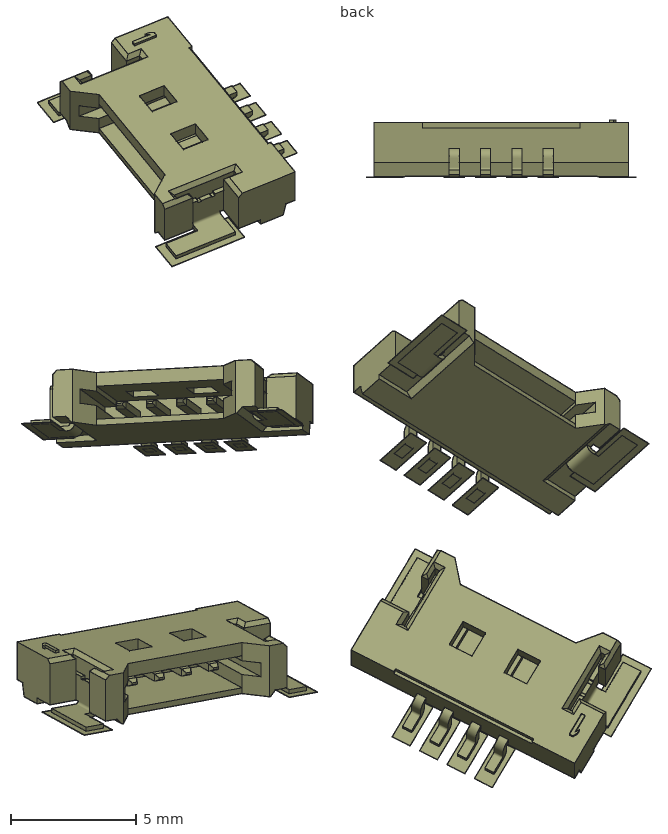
import cadquery as cq


pad_thickness = 0.02
anchor_pad_half_span = 5.38
anchor_pad_width = 1.3
anchor_pad_front = -0.35
anchor_pad_length = 3.34
contact_pad_width = 0.82
contact_pad_back = 7.19
contact_pad_length = 1.9

body_half_width = 5.08
body_depth = 5.48
body_bottom = 0.04
body_top = 2.19
body_height = body_top - body_bottom
edge_chamfer = 0.17
overhang_bottom = 0.6
overhang_depth = 0.42
rear_slope_run = 0.13
rear_recess_half_width = 3.14
rear_recess_depth = 0.14
rear_recess_height = 0.22

arm_half_width = 4.18
arm_length = 1.29
rear_block_front = 2.88
side_notch_x = 3.87

clearance_top = 0.29
clearance_back = 3.89
clearance_inner_bottom_x = 3.42
clearance_inner_top_x = 3.65

mouth_depth = 0.9
mouth_half_width = 2.62
mouth_front_half_width = 3.36
cavity_top = 1.63
cavity_back = 4.08
key_groove_half_width = 3.14
key_groove_bottom = 0.85
key_groove_top = 1.43

window_width = 1.03
window_length = 1.14
window_back = 3.4

contact_count = 4
contact_pitch = 1.25
contact_width = 0.41
contact_thickness = 0.3
contact_top = 1.16
contact_tip_y = 1.68
contact_tip_length = 0.22
contact_tip_width = 0.24
contact_tip_thickness = 0.08
tail_leg_back = 5.95
tail_end = 6.7
tail_outer_radius = 0.39
tail_inner_radius = tail_outer_radius - contact_thickness
tail_end_bevel_length = 0.17
tail_end_bevel_height = 0.11

anchor_thickness = 0.19
anchor_bend_inner_radius = 0.11
anchor_bend_outer_radius = anchor_bend_inner_radius + anchor_thickness
anchor_inner_x = side_notch_x - anchor_thickness
anchor_foot_back = 2.73
anchor_foot_bend_front = 1.46
anchor_foot_narrow_x = 4.28
anchor_plate_top = 1.4
anchor_plate_bottom = 0.43
plate_recess_length = 0.78
plate_recess_depth = 0.08
plate_groove_width = 0.15
plate_groove_depth = 0.11

slot_front = 0.73
slot_back = 3.48
slot_length = slot_back - slot_front
slot_center_x = (side_notch_x + anchor_inner_x) / 2
slot_center_y = (slot_front + slot_back) / 2

mark_height = 0.11
mark_stem_left = -4.47
mark_stem_right = -4.31
mark_front = 3.5
mark_back = 4.52
mark_flag_left = -4.58
mark_flag_y = 4.15
mark_flag_back_y = 4.32


def box(x_min, x_max, y_min, y_max, z_min, z_max):
    """Block between the given limits."""
    size = (x_max - x_min, y_max - y_min, z_max - z_min)
    return cq.Workplane("XY").box(*size, centered=False).translate((x_min, y_min, z_min))


def both_sides(shape):
    """The shape together with its mirror image across X = 0."""
    return shape.union(shape.mirror("YZ"))


def housing_block():
    """Stepped side profile of the housing, with the shallow recess in its rear top edge."""
    slope_top_y = body_depth - overhang_depth
    block = (
        cq.Workplane("YZ")
        .moveTo(0, body_bottom)
        .lineTo(slope_top_y - rear_slope_run, body_bottom)
        .lineTo(slope_top_y, overhang_bottom)
        .lineTo(body_depth, overhang_bottom)
        .lineTo(body_depth, body_top)
        .lineTo(0, body_top)
        .close()
        .extrude(body_half_width, both=True)
    )
    recess = box(
        -rear_recess_half_width, rear_recess_half_width,
        body_depth - rear_recess_depth, body_depth,
        body_top - rear_recess_height, body_top,
    )
    return block.cut(recess)


def side_cut():
    """Open space beside the front arm and the anchor, widening at the top edges."""
    def outline(growth):
        return [
            (arm_half_width - growth, -edge_chamfer),
            (arm_half_width - growth, arm_length - growth),
            (side_notch_x, arm_length - growth),
            (side_notch_x, rear_block_front + growth),
            (body_half_width + edge_chamfer, rear_block_front + growth),
            (body_half_width + edge_chamfer, -edge_chamfer),
        ]

    straight = cq.Workplane("XY").polyline(outline(0)).close().extrude(body_top)
    flare = (
        cq.Workplane("XY", origin=(0, 0, body_top - edge_chamfer))
        .polyline(outline(0))
        .close()
        .workplane(offset=edge_chamfer)
        .polyline(outline(edge_chamfer))
        .close()
        .loft(ruled=True)
    )
    return straight.union(flare)


def anchor_slot():
    """Slot for the anchor plate with a flared opening in the roof."""
    straight = box(
        anchor_inner_x, side_notch_x, slot_front, slot_back, anchor_plate_bottom, body_top
    )
    flare = (
        cq.Workplane("XY", origin=(slot_center_x, slot_center_y, body_top - edge_chamfer))
        .rect(anchor_thickness, slot_length)
        .workplane(offset=edge_chamfer)
        .rect(anchor_thickness + 2 * edge_chamfer, slot_length + 2 * edge_chamfer)
        .loft(ruled=True)
    )
    return straight.union(flare)


def foot_clearance():
    """Raised underside over the anchor foot, with a sloped inner wall."""
    return (
        cq.Workplane("XZ")
        .moveTo(clearance_inner_bottom_x, body_bottom)
        .lineTo(clearance_inner_top_x, clearance_top)
        .lineTo(body_half_width, clearance_top)
        .lineTo(body_half_width, body_bottom)
        .close()
        .extrude(-clearance_back)
    )


def mouth():
    """Tapered front opening, mating cavity and the key grooves in its side walls."""
    opening = (
        cq.Workplane("XY", origin=(0, 0, body_bottom))
        .moveTo(-mouth_front_half_width, 0)
        .lineTo(-mouth_half_width, mouth_depth)
        .lineTo(mouth_half_width, mouth_depth)
        .lineTo(mouth_front_half_width, 0)
        .close()
        .extrude(body_height)
    )
    cavity = box(
        -mouth_half_width, mouth_half_width, mouth_depth, cavity_back, clearance_top, cavity_top
    )
    grooves = box(
        -key_groove_half_width, key_groove_half_width,
        0, cavity_back,
        key_groove_bottom, key_groove_top,
    )
    return opening.union(cavity).union(grooves)


def windows():
    """Two roof openings, each centred between a pair of neighbouring contacts."""
    return (
        cq.Workplane("XY", origin=(0, window_back - window_length / 2, cavity_top))
        .pushPoints([(-contact_pitch, 0), (contact_pitch, 0)])
        .rect(window_width, window_length)
        .extrude(body_top - cavity_top)
    )


def pin_one_mark():
    """Raised stroke with a short flag on the roof beside the first contact."""
    return (
        cq.Workplane("XY", origin=(0, 0, body_top))
        .moveTo(mark_stem_right, mark_front)
        .lineTo(mark_stem_right, mark_back)
        .lineTo(mark_stem_left, mark_back)
        .lineTo(mark_flag_left, mark_flag_back_y)
        .lineTo(mark_flag_left, mark_flag_y)
        .lineTo(mark_stem_left, mark_flag_back_y)
        .lineTo(mark_stem_left, mark_front)
        .close()
        .extrude(mark_height)
    )


def housing():
    body = housing_block()
    for side_feature in (side_cut(), anchor_slot(), foot_clearance()):
        body = body.cut(both_sides(side_feature))
    return body.cut(mouth()).cut(windows()).union(pin_one_mark())


def anchor_plate():
    """Upright plate in the slot, with a shallow recess and end grooves in its top edge."""
    plate = box(
        anchor_inner_x, side_notch_x, slot_front, slot_back, anchor_plate_bottom, anchor_plate_top
    )
    recess_front = slot_center_y - plate_recess_length / 2
    recess_back = slot_center_y + plate_recess_length / 2

    def top_cut(y_min, y_max, depth):
        z_min = anchor_plate_top - depth
        return box(anchor_inner_x, side_notch_x, y_min, y_max, z_min, anchor_plate_top)

    plate = plate.cut(top_cut(recess_front, recess_back, plate_recess_depth))
    plate = plate.cut(top_cut(recess_front, recess_front + plate_groove_width, plate_groove_depth))
    return plate.cut(top_cut(recess_back - plate_groove_width, recess_back, plate_groove_depth))


def anchor_foot():
    """Foot on the solder pad that bends up into the plate, and its narrow front tongue."""
    bend_start_x = anchor_inner_x + anchor_bend_outer_radius
    bend_end_z = anchor_bend_outer_radius
    bent_strip = (
        cq.Workplane("XZ", origin=(0, anchor_foot_bend_front, 0))
        .moveTo(body_half_width, 0)
        .lineTo(bend_start_x, 0)
        .radiusArc((anchor_inner_x, bend_end_z), anchor_bend_outer_radius)
        .lineTo(anchor_inner_x, anchor_plate_bottom)
        .lineTo(side_notch_x, anchor_plate_bottom)
        .lineTo(side_notch_x, bend_end_z)
        .radiusArc((bend_start_x, anchor_thickness), -anchor_bend_inner_radius)
        .lineTo(body_half_width, anchor_thickness)
        .close()
        .extrude(anchor_foot_bend_front - anchor_foot_back)
    )
    tongue = box(
        anchor_foot_narrow_x, body_half_width, 0, anchor_foot_bend_front, 0, anchor_thickness
    )
    return bent_strip.union(tongue)


def anchor():
    pad = box(
        anchor_pad_half_span - anchor_pad_width, anchor_pad_half_span,
        anchor_pad_front, anchor_pad_front + anchor_pad_length,
        0, pad_thickness,
    )
    return anchor_plate().union(anchor_foot()).union(pad)


def contact():
    """Pin with a tapered tip, S-shaped tail and solder pad, centred on X = 0."""
    pin_start_y = contact_tip_y + contact_tip_length
    contact_bottom = contact_top - contact_thickness
    leg_front = tail_leg_back - contact_thickness
    upper_bend_y = tail_leg_back - tail_outer_radius
    lower_bend_y = leg_front + tail_outer_radius
    strip = (
        cq.Workplane("YZ")
        .moveTo(pin_start_y, contact_top)
        .lineTo(upper_bend_y, contact_top)
        .radiusArc((tail_leg_back, contact_top - tail_outer_radius), tail_outer_radius)
        .lineTo(tail_leg_back, tail_outer_radius)
        .radiusArc((lower_bend_y, contact_thickness), -tail_inner_radius)
        .lineTo(tail_end, contact_thickness)
        .lineTo(tail_end, tail_end_bevel_height)
        .lineTo(tail_end - tail_end_bevel_length, 0)
        .lineTo(lower_bend_y, 0)
        .radiusArc((leg_front, tail_outer_radius), tail_outer_radius)
        .lineTo(leg_front, contact_top - tail_outer_radius)
        .radiusArc((upper_bend_y, contact_bottom), -tail_inner_radius)
        .lineTo(pin_start_y, contact_bottom)
        .close()
        .extrude(contact_width / 2, both=True)
    )
    tip = (
        cq.Workplane("XZ", origin=(0, pin_start_y, contact_top - contact_thickness / 2))
        .rect(contact_width, contact_thickness)
        .workplane(offset=contact_tip_length)
        .rect(contact_tip_width, contact_tip_thickness)
        .loft(ruled=True)
    )
    pad = box(
        -contact_pad_width / 2, contact_pad_width / 2,
        contact_pad_back - contact_pad_length, contact_pad_back,
        0, pad_thickness,
    )
    return strip.union(tip).union(pad)


result = housing().union(both_sides(anchor()))
for index in range(contact_count):
    contact_x = (index - (contact_count - 1) / 2) * contact_pitch
    result = result.union(contact().translate((contact_x, 0, 0)))